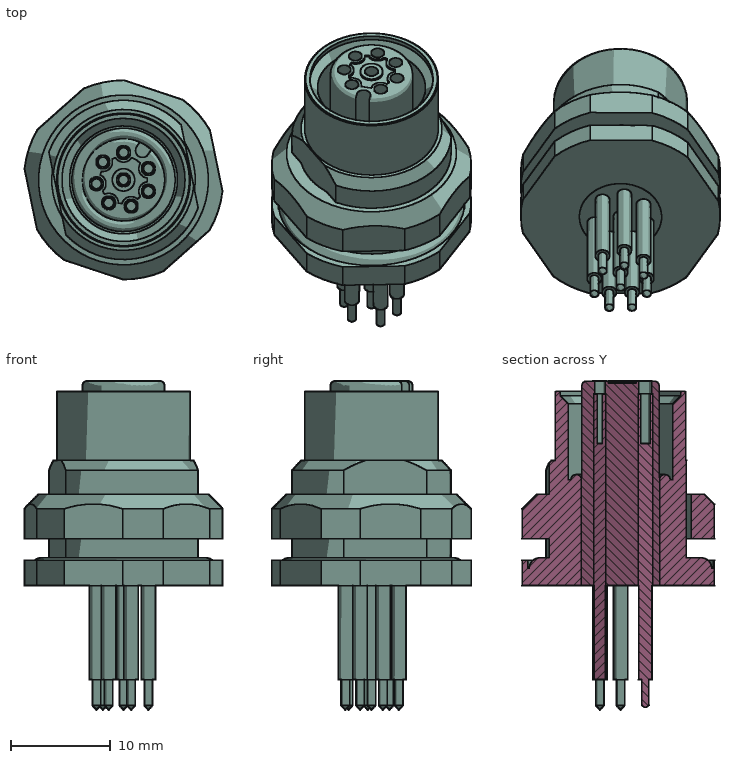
import cadquery as cq
import math

total_height = 33.0
rim_z = 31.98
cone_top_z = 25.0
cone_bottom_z = 24.02
cavity_floor_z = 23.1
nut_top_z = 21.65
nut_bottom_z = 17.15
seal_top_z = 15.28
flange_top_z = 15.0
flange_bottom_z = 12.47
tail_shoulder_z = 3.05
tip_cone_height = 0.45

hex_angle = 11.6
corner_radius = 10.0
hex_across_flats = 19.0
nut_chamfer = 1.5
nut_bore_radius = 7.2
thread_radius = 8.0
cone_top_radius = 7.05
shell_flat_distance = 6.75
shell_radius = 6.7
rim_chamfer = 0.1
rim_bore_radius = 6.17
rim_bore_depth = 0.5
cavity_radius = 5.4
cavity_taper_height = 0.75
seal_crest_radius = 8.22
seal_tube_radius = 1.05
seal_groove_radius = 9.37

insert_radius = 4.12
insert_fillet = 0.5
inner_seal_tube_radius = 0.53
face_recess_depth = 0.2
face_recess_radius = 2.38
lobe_radius = 0.95
centre_boss_radius = 1.12
keyway_radius = 0.7
keyway_distance = 3.5
keyway_depth = 6.6

contact_ring_radius = 2.75
ring_contact_count = 7
contact_pitch = 49.1
keyway_angle = 57.2
contact_radius = 0.73
contact_tail_radius = 0.43
contact_top_z = 31.68
socket_radius = 0.5
socket_depth = 4.95
contact_opening_radius = 0.65


def polar(radius, angle):
    """Point at a radius and an angle in degrees about the connector axis."""
    return (radius * math.cos(math.radians(angle)), radius * math.sin(math.radians(angle)))


first_contact_angle = keyway_angle + (360 - (ring_contact_count - 1) * contact_pitch) / 2
ring_points = [
    polar(contact_ring_radius, first_contact_angle + i * contact_pitch) for i in range(ring_contact_count)
]
contact_points = [(0, 0)] + ring_points


def disc(radius, bottom, top):
    """Upright cylinder on the connector axis."""
    return cq.Workplane("XY").workplane(offset=bottom).circle(radius).extrude(top - bottom)


def cylinders(points, radius, bottom, top):
    """Upright cylinders centred on the given points."""
    plane = cq.Workplane("XY").workplane(offset=bottom)
    return plane.pushPoints(points).circle(radius).extrude(top - bottom)


def rounded_hexagon(bottom, top):
    """Hexagonal prism whose corners are turned to a cylinder."""
    prism = (
        cq.Workplane("XY")
        .workplane(offset=bottom)
        .polygon(6, hex_across_flats, circumscribed=True)
        .extrude(top - bottom)
        .rotate((0, 0, 0), (0, 0, 1), hex_angle)
    )
    return prism.intersect(disc(corner_radius, bottom, top))


def make_shell():
    """Threaded shell with its socket cavity and the rounded seal round the cavity floor."""
    taper_top_z = rim_z - rim_bore_depth
    inner_seal_outer_radius = insert_radius + 2 * inner_seal_tube_radius
    shell = (
        cq.Workplane("XZ")
        .moveTo(insert_radius, flange_bottom_z)
        .lineTo(thread_radius, flange_bottom_z)
        .lineTo(thread_radius, cone_bottom_z)
        .lineTo(cone_top_radius, cone_top_z)
        .lineTo(shell_radius, cone_top_z)
        .lineTo(shell_radius, rim_z - rim_chamfer)
        .lineTo(shell_radius - rim_chamfer, rim_z)
        .lineTo(rim_bore_radius, rim_z)
        .lineTo(rim_bore_radius, taper_top_z)
        .lineTo(cavity_radius, taper_top_z - cavity_taper_height)
        .lineTo(cavity_radius, cavity_floor_z)
        .lineTo(inner_seal_outer_radius, cavity_floor_z)
        .threePointArc(
            (insert_radius + inner_seal_tube_radius, cavity_floor_z + inner_seal_tube_radius),
            (insert_radius, cavity_floor_z),
        )
        .close()
        .revolve(360, (0, 0, 0), (0, 1, 0))
    )
    between_flats = (
        cq.Workplane("XY")
        .workplane(offset=seal_top_z)
        .rect(2 * shell_flat_distance, 2 * thread_radius)
        .extrude(cone_top_z - seal_top_z)
        .rotate((0, 0, 0), (0, 0, 1), hex_angle)
    )
    flat_cutter = disc(thread_radius, seal_top_z, cone_top_z).cut(between_flats)
    return shell.cut(flat_cutter)


def make_flange():
    """Hexagonal flange with a groove and the rounded sealing ring that stands in it."""
    groove_floor_z = seal_top_z - seal_tube_radius
    groove = disc(seal_groove_radius, groove_floor_z, flange_top_z)
    arc_middle = (
        seal_crest_radius + seal_tube_radius * math.sqrt(0.5),
        groove_floor_z + seal_tube_radius * math.sqrt(0.5),
    )
    seal = (
        cq.Workplane("XZ")
        .moveTo(insert_radius, groove_floor_z)
        .lineTo(seal_crest_radius + seal_tube_radius, groove_floor_z)
        .threePointArc(arc_middle, (seal_crest_radius, seal_top_z))
        .lineTo(insert_radius, seal_top_z)
        .close()
        .revolve(360, (0, 0, 0), (0, 1, 0))
    )
    flange = rounded_hexagon(flange_bottom_z, flange_top_z).cut(groove).union(seal)
    return flange.cut(disc(insert_radius, flange_bottom_z, seal_top_z))


def make_nut():
    """Hexagonal nut, chamfered on top, whose bore leaves gaps beside the shell flats."""
    chamfered_disc = disc(corner_radius, nut_bottom_z, nut_top_z).faces(">Z").chamfer(nut_chamfer)
    bore = disc(nut_bore_radius, nut_bottom_z, nut_top_z)
    return rounded_hexagon(nut_bottom_z, nut_top_z).intersect(chamfered_disc).cut(bore)


def make_housing():
    """Shell, flange with its seal, and nut as one solid."""
    return make_shell().union(make_flange()).union(make_nut())


def make_insert():
    """Contact carrier with a keyway and a recessed face round the contact openings."""
    insert = disc(insert_radius, flange_bottom_z, total_height).faces(">Z").edges().fillet(insert_fillet)

    recess_floor_z = total_height - face_recess_depth
    recess = disc(face_recess_radius, recess_floor_z, total_height)
    recess = recess.cut(cylinders(ring_points, lobe_radius, recess_floor_z, total_height))
    recess = recess.cut(disc(centre_boss_radius, recess_floor_z, total_height))

    keyway_end = insert_radius + keyway_radius
    keyway = (
        cq.Workplane("XY")
        .workplane(offset=total_height - keyway_depth)
        .center((keyway_distance + keyway_end) / 2, 0)
        .slot2D(keyway_end - keyway_distance + 2 * keyway_radius, 2 * keyway_radius)
        .extrude(keyway_depth)
        .rotate((0, 0, 0), (0, 0, 1), keyway_angle)
    )

    openings = cylinders(contact_points, contact_opening_radius, contact_top_z, total_height)
    contact_holes = cylinders(contact_points, contact_radius, flange_bottom_z, contact_top_z)
    return insert.cut(recess).cut(keyway).cut(openings).cut(contact_holes)


def make_contact(position):
    """Turned contact: socket at the top, thin solder tail with a pointed tip at the bottom."""
    socket_floor_z = contact_top_z - socket_depth
    contact = (
        cq.Workplane("XZ")
        .moveTo(0, 0)
        .lineTo(contact_tail_radius, tip_cone_height)
        .lineTo(contact_tail_radius, tail_shoulder_z)
        .lineTo(contact_radius, tail_shoulder_z)
        .lineTo(contact_radius, contact_top_z)
        .lineTo(socket_radius, contact_top_z)
        .lineTo(socket_radius, socket_floor_z)
        .lineTo(0, socket_floor_z)
        .close()
        .revolve(360, (0, 0, 0), (0, 1, 0))
    )
    return contact.translate((*position, 0))


housing = make_housing()
insert = make_insert()
contacts = [make_contact(point).val() for point in contact_points]

result = cq.Compound.makeCompound([housing.val(), insert.val(), *contacts])